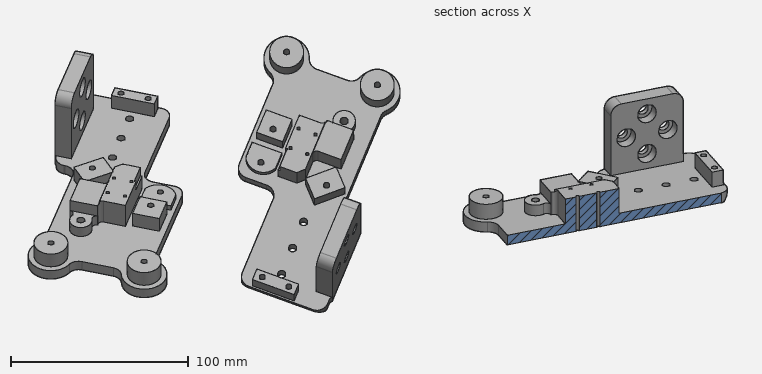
import cadquery as cq
import math


plate_thickness = 6.4
corner_radius = 6.4
blend_radius = 2.5
arm_left, arm_right = -30.5, 21.0
arm_bottom, arm_top = 48.5, 110.2
body_left, body_right = -17.2, 46.5
body_top = 49.5
end_chamfer = 4.0
foot_radius = 12.8
foot_y = -26.1
foot_xs = (-9.8, 44.9)

bracket_left = -31.6
bracket_thickness = 9.7
bracket_bottom, bracket_top = 55.0, 99.3
bracket_height = 50.9
bracket_hole_diameter = 6.7
bracket_counterbore_diameter = 11.2
bracket_counterbore_depth = 6.4
bracket_hole_offset = 12.7
bracket_hole_z = 28.6

post_height = 9.5
shoulder_height = 3.3
motor_height = 14.3
tower_height = 15.8
pivot_height = 6.7

pivot_hole_diameter = 4.5
arm_hole_pitch = 17.0
first_arm_hole_y = 62.6
arm_hole_count = 3
screw_hole_diameter = 3.5
bar_hole_diameter = 3.3
pin_hole_diameter = 1.8

foot_post_diameter = 19.1
bar_center = (0.1, 105.7)
bar_length, bar_width = 25.2, 6.9
bar_hole_spacing = 16.0
tilted_center = (-4.2, 39.8)
tilted_length, tilted_width = 18.5, 13.4
tilted_angle = 43.0
tilted_hole = (-5.4, 40.9)
square_center = (35.0, 18.0)
square_length, square_width = 15.7, 14.6
square_hole_y = 20.1
shoulder_bottom, shoulder_top = 29.5, 44.9
shoulder_width = 18.0
shoulder_radius = 10.0
shoulder_hole_y = 39.1

motor_half_width = 8.0
motor_bottom, motor_top = 6.0, 25.2
pivot_diameter = 12.7
tower_left, tower_right = 8.4, 23.4
tower_bottom, tower_top = 9.2, 42.2
tower_chamfer = 3.7
step_width = 1.0
step_bottom = 30.5
pin_xs = (10.7, 20.9)
pin_ys = (16.9, 29.5)


def slab(left, right, bottom, top, height, base=0.0):
    """Rectangular block given by its plan limits."""
    return (
        cq.Workplane("XY", origin=(left, bottom, base))
        .box(right - left, top - bottom, height, centered=False)
    )


def disc(x, y, radius, height, base=0.0):
    return cq.Workplane("XY", origin=(x, y, base)).circle(radius).extrude(height)


def on_plate(x=0.0, y=0.0):
    return cq.Workplane("XY", origin=(x, y, plate_thickness))


def corner_web(corner, x_sign, y_sign, height):
    """Concave web filling an inside corner, spreading along the two given directions."""
    x, y = corner
    bulge = blend_radius * (1 - math.sqrt(0.5))
    return (
        on_plate()
        .moveTo(x, y)
        .lineTo(x + x_sign * blend_radius, y)
        .threePointArc((x + x_sign * bulge, y + y_sign * bulge), (x, y + y_sign * blend_radius))
        .close()
        .extrude(height)
    )


def meeting_point(center_a, radius_a, center_b, radius_b):
    """Crossing of two circles, the one to the left when going from center a to center b."""
    dx, dy = center_b[0] - center_a[0], center_b[1] - center_a[1]
    distance = math.hypot(dx, dy)
    along = (radius_a**2 - radius_b**2 + distance**2) / (2 * distance)
    across = math.sqrt(radius_a**2 - along**2)
    return (
        center_a[0] + (along * dx - across * dy) / distance,
        center_a[1] + (along * dy + across * dx) / distance,
    )


def make_plate():
    plate = slab(arm_left, arm_right, arm_bottom, arm_top, plate_thickness)
    plate = plate.union(slab(body_left, body_right, foot_y, body_top, plate_thickness))
    for x in foot_xs:
        plate = plate.union(disc(x, foot_y, foot_radius, plate_thickness))
    plate = plate.edges("|Z").fillet(corner_radius)
    end_cut = (
        cq.Workplane("YZ", origin=(arm_left, 0, 0))
        .polyline([(arm_top - end_chamfer, 0), (arm_top, 0), (arm_top, end_chamfer)])
        .close()
        .extrude(arm_right - arm_left)
    )
    return plate.cut(end_cut)


def make_bracket():
    bracket = slab(
        bracket_left, bracket_left + bracket_thickness, bracket_bottom, bracket_top, bracket_height
    )
    return bracket.edges("|X and >Z").fillet(corner_radius)


def make_bracket_webs():
    """Small concave blends from the ends of the bracket foot to the edge of the arm."""
    overhang = arm_left - bracket_left
    rise = math.sqrt(blend_radius**2 - (blend_radius - overhang) ** 2)
    inner_x = arm_left + overhang
    upper = (
        cq.Workplane("XY")
        .moveTo(bracket_left, bracket_top)
        .radiusArc((arm_left, bracket_top + rise), -blend_radius)
        .lineTo(inner_x, bracket_top + rise)
        .lineTo(inner_x, bracket_top)
        .close()
        .extrude(plate_thickness)
    )
    corner = (arm_left + corner_radius, arm_bottom + corner_radius)
    start = (bracket_left, bracket_bottom)
    reach = corner_radius + blend_radius
    center = meeting_point(corner, reach, start, blend_radius)
    share = corner_radius / reach
    touch = (
        corner[0] + (center[0] - corner[0]) * share,
        corner[1] + (center[1] - corner[1]) * share,
    )
    lower = (
        cq.Workplane("XY")
        .moveTo(*start)
        .radiusArc(touch, blend_radius)
        .lineTo(inner_x, touch[1])
        .lineTo(inner_x, bracket_bottom)
        .close()
        .extrude(plate_thickness)
    )
    return upper.union(lower)


def make_posts():
    posts = on_plate(*bar_center).rect(bar_length, bar_width).extrude(post_height)
    tilted = (
        on_plate(*tilted_center)
        .transformed(rotate=(0, 0, tilted_angle))
        .rect(tilted_length, tilted_width)
        .extrude(post_height)
    )
    square = on_plate(*square_center).rect(square_length, square_width).extrude(post_height)
    posts = posts.union(tilted).union(square)
    for x in foot_xs:
        posts = posts.union(disc(x, foot_y, foot_post_diameter / 2, post_height, plate_thickness))
    return posts


def make_shoulder():
    """Low post with straight sides and a round top end."""
    center_x = square_center[0]
    half_width = shoulder_width / 2
    side_top = shoulder_top - shoulder_radius + math.sqrt(shoulder_radius**2 - half_width**2)
    return (
        on_plate()
        .moveTo(center_x - half_width, shoulder_bottom)
        .lineTo(center_x + half_width, shoulder_bottom)
        .lineTo(center_x + half_width, side_top)
        .threePointArc((center_x, shoulder_top), (center_x - half_width, side_top))
        .close()
        .extrude(shoulder_height)
    )


def make_motor():
    """Motor block and the round lug on its lower side, blended into it."""
    block = slab(
        -motor_half_width, tower_left, tower_bottom, motor_top, motor_height, plate_thickness
    )
    lower_block = slab(
        -motor_half_width, motor_half_width, motor_bottom, tower_bottom, motor_height, plate_thickness
    )
    block = block.union(lower_block)
    pivot_radius = pivot_diameter / 2
    lug = disc(0, 0, pivot_radius, pivot_height, plate_thickness)
    blend_y = motor_bottom - blend_radius
    blend_x = math.sqrt((pivot_radius + blend_radius) ** 2 - blend_y**2)
    share = pivot_radius / (pivot_radius + blend_radius)
    touch = (blend_x * share, blend_y * share)
    neck = (
        on_plate()
        .moveTo(blend_x, motor_bottom)
        .radiusArc(touch, -blend_radius)
        .lineTo(-touch[0], touch[1])
        .radiusArc((-blend_x, motor_bottom), -blend_radius)
        .close()
        .extrude(pivot_height)
    )
    return block.union(lug).union(neck)


def make_tower():
    tower = slab(tower_left, tower_right, tower_bottom, tower_top, tower_height, plate_thickness)
    tower = tower.edges("|Z and <X and >Y").chamfer(tower_chamfer)
    step = slab(
        tower_right - step_width,
        tower_right,
        step_bottom,
        tower_top,
        tower_height - post_height,
        plate_thickness + post_height,
    )
    tower = tower.cut(step)
    upper_web = corner_web((tower_left, motor_top), -1, 1, motor_height)
    lower_web = corner_web((motor_half_width, tower_bottom), 1, -1, tower_height)
    overlap = slab(
        motor_half_width,
        tower_left,
        motor_bottom,
        tower_bottom,
        tower_height - motor_height,
        plate_thickness + motor_height,
    )
    return tower.union(upper_web).union(lower_web.cut(overlap))


def drill(body, points, diameter):
    """Holes straight down through everything."""
    tool = cq.Workplane("XY").pushPoints(points).circle(diameter / 2).extrude(bracket_height)
    return body.cut(tool)


def drill_bracket(body):
    middle_y = (bracket_bottom + bracket_top) / 2
    points = []
    for angle in (0, math.pi / 2, math.pi, 3 * math.pi / 2):
        y = middle_y + bracket_hole_offset * math.cos(angle)
        z = bracket_hole_z + bracket_hole_offset * math.sin(angle)
        points.append((y, z))
    hole = (
        cq.Workplane("YZ", origin=(bracket_left, 0, 0))
        .pushPoints(points)
        .circle(bracket_hole_diameter / 2)
        .extrude(bracket_thickness)
    )
    counterbore = (
        cq.Workplane("YZ", origin=(bracket_left + bracket_thickness, 0, 0))
        .pushPoints(points)
        .circle(bracket_counterbore_diameter / 2)
        .extrude(-bracket_counterbore_depth)
    )
    return body.cut(hole).cut(counterbore)


result = make_plate()
for feature in (
    make_bracket(), make_bracket_webs(), make_posts(), make_shoulder(), make_motor(), make_tower()
):
    result = result.union(feature)

arm_holes = [(0, first_arm_hole_y + i * arm_hole_pitch) for i in range(arm_hole_count)]
result = drill(result, [(0, 0)] + arm_holes, pivot_hole_diameter)
screw_holes = [tilted_hole, (square_center[0], square_hole_y), (square_center[0], shoulder_hole_y)]
result = drill(result, screw_holes + [(x, foot_y) for x in foot_xs], screw_hole_diameter)
bar_holes = [(bar_center[0] + side * bar_hole_spacing / 2, bar_center[1]) for side in (-1, 1)]
result = drill(result, bar_holes, bar_hole_diameter)
result = drill(result, [(x, y) for x in pin_xs for y in pin_ys], pin_hole_diameter)
result = drill_bracket(result)